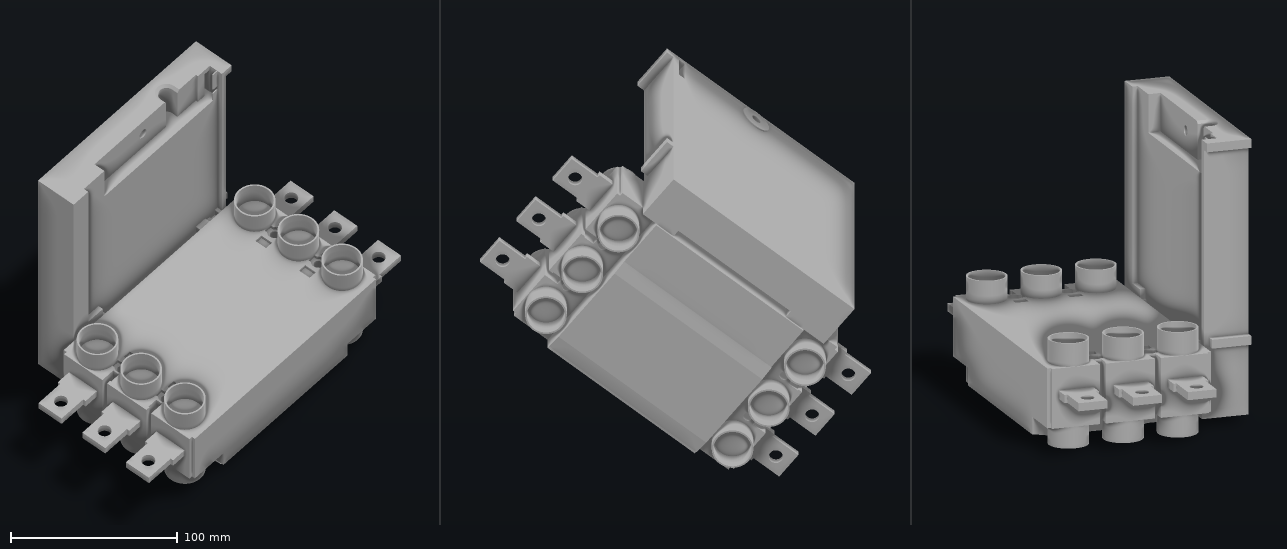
import cadquery as cq


base_half_x = 52.5
base_half_y = 84.9
base_bottom = 13.8
base_top = 51.3
corner_step = 2.3
pole_pitch = 35.0
pole_xs = (-pole_pitch, 0.0, pole_pitch)
gap_xs = (-pole_pitch / 2, pole_pitch / 2)
ends = (-1, 1)

lower_half_y = 56.5
lower_bottom = 2.8
cover_drop = 1.5
cover_left = -21.5
cover_right = 51.0
cover_ramp = 9.2
cover_extra_y = 0.5

gap_outer_x = 19.5
gap_inner_x = 15.0
gap_mouth_x = 15.6
gap_mouth_depth = 2.8
gap_depth = 10.0

fixing_y = 69.7
fixing_hole_d = 5.5
fixing_recess_d = 8.5
channel_x = 10.8
channel_y = 5.5
channel_depth = 2.3
window_y = 60.0
window_size_x = 8.5
window_size_y = 5.5
window_depth = 2.3

tube_y = 71.8
tube_outer_d = 25.0
tube_inner_d = 23.0
tube_top = 65.8

terminal_tip_y = 115.0
terminal_step_y = 95.2
terminal_wide = 22.3
terminal_narrow = 18.5
terminal_bottom = 32.5
terminal_thickness = 5.0
terminal_hole_y = 105.0
terminal_hole_d = 8.5

panel_left = -82.0
panel_right = -57.0
panel_front = -72.2
panel_back = 67.0
panel_bottom = 4.8
panel_top = 178.7
tab_back = 72.0
tab_height = 5.5
low_tab_bottom = 50.0
lip_right = -53.5
front_lip_back = -58.9
back_lip_front = 63.0

recess_bottom = 154.5
recess_left = -64.9
recess_left_back = -63.2
recess_step_y = 52.2
recess_front = -40.2
cradle_x = -69.0
cradle_y = 30.1
cradle_d = 10.4
cradle_rim_d = 13.8
rim_angle = 45

catch_left = -57.7
catch_thickness = 0.7
catch_front = 58.9
catch_gap_bottom = 161.2
catch_gap_top = 164.7
slot_front = 58.2
slot_back = 62.8
slot_top = 175.0

boss_d = 19.5
boss_height = 1.0
boss_hole_d = 6.5
boss_y = 4.0
boss_z = 167.2

foot_inner_y = 43.2
foot_top = 49.2
foot_step_y = (51.8, 55.7, 60.5)
foot_step_depth = 2.3
pad_back = -45.5
pin_d = 13.8
pin_y = -32.0
pin_z = 32.2


def box(x0, x1, y0, y1, z0, z1):
    """Box between two opposite corners."""
    return cq.Workplane("XY").box(x1 - x0, y1 - y0, z1 - z0, centered=False).translate((x0, y0, z0))


def box_at(x, y, size_x, size_y, z0, z1):
    """Box centred on x and y."""
    return box(x - size_x / 2, x + size_x / 2, y - size_y / 2, y + size_y / 2, z0, z1)


def rod_z(x, y, diameter, z0, z1):
    """Upright cylinder."""
    return cq.Workplane("XY", origin=(x, y, z0)).circle(diameter / 2).extrude(z1 - z0)


def rod_x(y, z, diameter, x0, x1):
    """Cylinder along X."""
    return cq.Workplane("YZ", origin=(x0, y, z)).circle(diameter / 2).extrude(x1 - x0)


def span(side, near, far):
    """Ordered limits of a stretch on the negative or positive side of an axis."""
    return sorted((side * near, side * far))


def make_base():
    base = box(-base_half_x, base_half_x, -base_half_y, base_half_y, base_bottom, base_top)
    for side in ends:
        for hand in (-1, 1):
            corner = box_at(hand * base_half_x, side * base_half_y,
                            2 * corner_step, 2 * corner_step, base_bottom, base_top)
            base = base.cut(corner)
    lower = box(-base_half_x, base_half_x, -lower_half_y, lower_half_y, lower_bottom, base_bottom)
    return base.union(lower).union(make_bottom_cover())


def make_bottom_cover():
    """Thin cover plate whose two X edges slope up to the lower body."""
    outline = [
        (cover_left, lower_bottom),
        (cover_left + cover_ramp, lower_bottom - cover_drop),
        (cover_right - cover_ramp, lower_bottom - cover_drop),
        (cover_right, lower_bottom),
    ]
    length = 2 * lower_half_y + cover_extra_y
    return cq.Workplane("XZ", origin=(0, lower_half_y, 0)).polyline(outline).close().extrude(length)


def cut_pole_gaps(base):
    for side in ends:
        slot_y = span(side, base_half_y - gap_depth, base_half_y - gap_mouth_depth)
        mouth_y = span(side, base_half_y - gap_mouth_depth, base_half_y)
        for hand in (-1, 1):
            slot_x = span(hand, gap_inner_x, gap_outer_x)
            mouth_x = span(hand, gap_mouth_x, gap_outer_x)
            base = base.cut(box(*slot_x, *slot_y, base_bottom, base_top))
            base = base.cut(box(*mouth_x, *mouth_y, base_bottom, base_top))
    return base


def cut_fixings(base):
    """Counterbored hole in a cross channel as deep as the counterbore, and a window beside it."""
    floor = base_top - channel_depth
    for side in ends:
        for x in gap_xs:
            channel = box_at(x, side * fixing_y, channel_x, channel_y, floor, base_top)
            base = base.cut(channel)
            base = base.cut(rod_z(x, side * fixing_y, fixing_recess_d, floor, base_top))
            base = base.cut(rod_z(x, side * fixing_y, fixing_hole_d, base_bottom, base_top))
            window = box_at(x, side * window_y, window_size_x, window_size_y,
                            base_top - window_depth, base_top)
            base = base.cut(window)
    return base


def make_tube(x, y, z0, z1):
    return rod_z(x, y, tube_outer_d, z0, z1).cut(rod_z(x, y, tube_inner_d, z0, z1))


def make_terminal(x, side):
    top = terminal_bottom + terminal_thickness
    wide_y = span(side, base_half_y, terminal_step_y)
    narrow_y = span(side, terminal_step_y, terminal_tip_y)
    wide = box(x - terminal_wide / 2, x + terminal_wide / 2, *wide_y, terminal_bottom, top)
    narrow = box(x - terminal_narrow / 2, x + terminal_narrow / 2, *narrow_y, terminal_bottom, top)
    hole = rod_z(x, side * terminal_hole_y, terminal_hole_d, terminal_bottom, top)
    return wide.union(narrow).cut(hole)


def make_panel():
    panel = box(panel_left, panel_right, panel_front, panel_back, panel_bottom, panel_top)
    top_tab_bottom = panel_top - tab_height
    panel = panel.union(box(panel_left, lip_right, panel_back, tab_back, top_tab_bottom, panel_top))
    panel = panel.union(box(panel_left, panel_right, panel_back, tab_back,
                            low_tab_bottom, low_tab_bottom + tab_height))
    for y0, y1 in ((panel_front, front_lip_back), (back_lip_front, panel_back)):
        panel = panel.union(box(panel_right, lip_right, y0, y1, panel_bottom, panel_top))
    return panel


def make_cradle(diameter, z0):
    """Slot with a round end that opens into the recess."""
    throat = box(cradle_x, recess_left, cradle_y - diameter / 2, cradle_y + diameter / 2, z0, panel_top)
    return rod_z(cradle_x, cradle_y, diameter, z0, panel_top).union(throat)


def make_cradle_rim():
    """Sloped rim of the cradle, widening toward the panel top."""
    slope = (cradle_rim_d - cradle_d) / 2
    half = cradle_d / 2
    throat_end = recess_left + slope
    floor = cq.Workplane("XY", origin=(0, 0, panel_top - slope))
    outline = (floor.moveTo(throat_end, cradle_y - half).lineTo(throat_end, cradle_y + half)
               .lineTo(cradle_x, cradle_y + half)
               .threePointArc((cradle_x - half, cradle_y), (cradle_x, cradle_y - half)).close())
    return outline.extrude(slope, taper=-rim_angle)


def cut_recess(panel):
    panel = panel.cut(box(recess_left, panel_right, recess_front, recess_step_y, recess_bottom, panel_top))
    panel = panel.cut(box(recess_left_back, panel_right, recess_step_y, back_lip_front,
                          recess_bottom, panel_top))
    panel = panel.cut(make_cradle(cradle_d, recess_bottom))
    return panel.cut(make_cradle_rim())


def add_catch(panel):
    """Slot through the panel with a split catch strip behind it."""
    panel = panel.cut(box(panel_left, recess_left_back, slot_front, slot_back, recess_bottom, slot_top))
    for z0, z1 in ((recess_bottom, catch_gap_bottom), (catch_gap_top, panel_top)):
        panel = panel.union(box(catch_left, catch_left + catch_thickness,
                                catch_front, back_lip_front, z0, z1))
    return panel


def add_boss(panel):
    panel = panel.union(rod_x(boss_y, boss_z, boss_d, panel_left - boss_height, panel_left))
    return panel.cut(rod_x(boss_y, boss_z, boss_hole_d, panel_left - boss_height, panel_right))


def make_links():
    """Feet and pin that carry the panel on the base."""
    front_foot = box(panel_right, -base_half_x, panel_front, -foot_inner_y, panel_bottom, foot_top)
    back_foot = box(panel_right, -base_half_x, foot_inner_y, panel_back, panel_bottom, foot_top)
    for step, y0 in enumerate(foot_step_y[:-1], start=1):
        step_floor = foot_top - step * foot_step_depth
        back_foot = back_foot.cut(box(panel_right, -base_half_x, y0, foot_step_y[-1], step_floor, foot_top))
    pad = box(panel_right, lip_right, front_lip_back, pad_back, foot_top, low_tab_bottom + tab_height)
    pin = rod_x(pin_y, pin_z, pin_d, panel_right, -base_half_x)
    return front_foot.union(back_foot).union(pad).union(pin)


result = cut_fixings(cut_pole_gaps(make_base()))
for end in ends:
    for pole_x in pole_xs:
        result = result.union(make_tube(pole_x, end * tube_y, base_top, tube_top))
        result = result.union(make_tube(pole_x, end * tube_y, 0, base_bottom))
        result = result.union(make_terminal(pole_x, end))
side_panel = add_boss(add_catch(cut_recess(make_panel())))
result = result.union(side_panel).union(make_links())